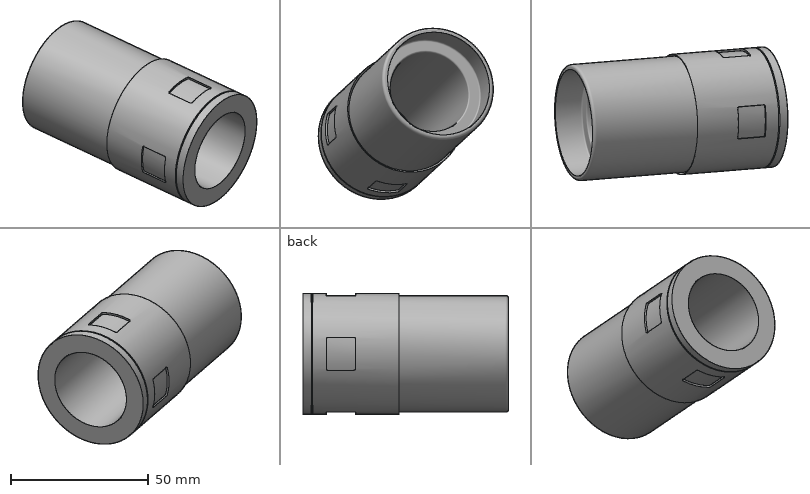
import cadquery as cq
import math

length = 75.0
spigot_diameter = 42.5
collar_diameter = 44.0
collar_start = 39.9
undercut_depth = 0.75
rim_fillet = 1.05

bore_diameter = 30.0
bore_edge_radius = 0.5
socket_diameter = 39.0
socket_depth = 10.5
socket_floor_fillet = 0.5

groove_diameter = 37.5
groove_start = 71.4
groove_width = 0.45

window_count = 4
window_start = 55.8
window_length = 10.65
window_width = 11.9
window_corner_radius = 0.5
window_floor_diameter = spigot_diameter


def cylinder(diameter, start, depth):
    """Solid cylinder along +X."""
    return cq.Workplane("YZ", origin=(start, 0, 0)).circle(diameter / 2).extrude(depth)


def make_body():
    """Spigot with a rounded rim, and a collar whose front face slopes back inwards to the spigot."""
    spigot = cylinder(spigot_diameter, 0, length).faces("<X").edges().fillet(rim_fillet)
    collar = (
        cq.Workplane("XY")
        .moveTo(collar_start, collar_diameter / 2)
        .lineTo(length, collar_diameter / 2)
        .lineTo(length, 0)
        .lineTo(collar_start + undercut_depth, 0)
        .lineTo(collar_start + undercut_depth, spigot_diameter / 2)
        .close()
        .revolve(360, (0, 0, 0), (1, 0, 0))
    )
    return spigot.union(collar)


def make_bore():
    """Socket with a filleted floor, leading over a rounded edge into the through bore."""
    socket = cylinder(socket_diameter, 0, socket_depth).faces(">X").edges().fillet(socket_floor_fillet)
    bore = cylinder(bore_diameter, 0, length)
    edge_radius = bore_diameter / 2 + bore_edge_radius
    edge_end = socket_depth + bore_edge_radius
    mid_offset = bore_edge_radius * (1 - math.sqrt(0.5))
    arc_middle = (socket_depth + mid_offset, bore_diameter / 2 + mid_offset)
    rounded_edge = (
        cq.Workplane("XY")
        .moveTo(socket_depth, 0)
        .lineTo(socket_depth, edge_radius)
        .threePointArc(arc_middle, (edge_end, bore_diameter / 2))
        .lineTo(edge_end, 0)
        .close()
        .revolve(360, (0, 0, 0), (1, 0, 0))
    )
    return socket.union(bore).union(rounded_edge)


def make_groove():
    outer = cylinder(collar_diameter, groove_start, groove_width)
    return outer.cut(cylinder(groove_diameter, groove_start, groove_width))


def make_window(angle):
    """Rounded rectangular pocket whose floor follows the window floor cylinder."""
    block = (
        cq.Workplane("XY")
        .center(window_start + window_length / 2, 0)
        .rect(window_length, window_width)
        .extrude(collar_diameter)
        .edges("|Z")
        .fillet(window_corner_radius)
    )
    pocket = block.cut(cylinder(window_floor_diameter, 0, length))
    return pocket.rotate((0, 0, 0), (1, 0, 0), angle)


result = make_body().cut(make_bore()).cut(make_groove())
for index in range(window_count):
    result = result.cut(make_window(index * 360 / window_count))